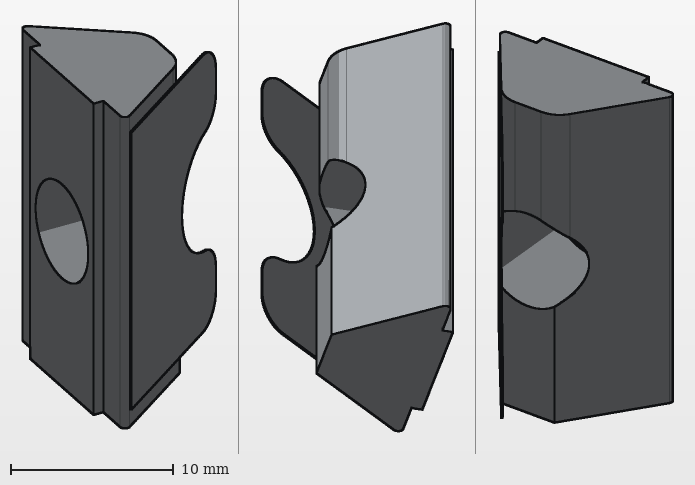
import cadquery as cq
import math

length = 22.0
body_height = 7.2
rail_height = 0.68
rail_width = 8.0
top_width = 3.98
flank_angle = math.radians(53.7)
foot_radius = 0.33
crown_radius = 1.98
bore_diameter = 6.65

plate_thickness = 0.09
plate_length = 19.58
plate_foot_y = 1.25
plate_top_y = 11.4
plate_corner_radius = 1.98
notch_radius = 4.3
notch_depth = 5.02

flank_run = (body_height - rail_height) / math.tan(flank_angle)
foot_half_width = top_width / 2 + flank_run


def make_body():
    """Trapezoidal nut with a rail below and a rounded crown on its +Z half."""
    body = (
        cq.Workplane("XY")
        .polyline([
            (-foot_half_width, rail_height),
            (foot_half_width, rail_height),
            (top_width / 2, body_height),
            (-top_width / 2, body_height),
        ])
        .close()
        .extrude(length / 2, both=True)
    )
    body = body.edges("|Z and (<X or >X)").fillet(foot_radius)

    mid_plane = body.copyWorkplane(cq.Workplane("XY"))
    lower_half = mid_plane.split(keepBottom=True)
    upper_half = mid_plane.split(keepTop=True)
    upper_half = upper_half.faces(">Y").edges("|Z").fillet(crown_radius)
    rail = cq.Workplane("XY").box(
        rail_width, rail_height, length, centered=(True, False, True))
    bore = cq.Workplane("XZ").circle(bore_diameter / 2).extrude(-body_height)
    return upper_half.union(lower_half).union(rail).cut(bore)


def make_spring_plate():
    """Thin plate with two rounded tabs on either side of a circular notch."""
    up_flank = (-math.cos(flank_angle), math.sin(flank_angle), 0)
    outward = (math.sin(flank_angle), math.cos(flank_angle), 0)
    foot_x = top_width / 2 + (body_height - plate_foot_y) / math.tan(flank_angle)
    flank_plane = cq.Plane(
        origin=(foot_x, plate_foot_y, 0), xDir=up_flank, normal=outward)

    tip_rise = plate_thickness * math.cos(flank_angle)
    span = (plate_top_y - tip_rise - plate_foot_y) / math.sin(flank_angle)
    plate = (
        cq.Workplane(flank_plane)
        .rect(span, plate_length)
        .extrude(plate_thickness)
        .translate(tuple(span / 2 * part for part in up_flank))
    )
    notch = (
        cq.Workplane(flank_plane)
        .center(span - notch_depth + notch_radius, 0)
        .circle(notch_radius)
        .extrude(plate_thickness)
    )
    plate = plate.cut(notch)
    above_crown = cq.selectors.BoxSelector(
        (-length, body_height, -length), (length, length, length))
    through_thickness = cq.selectors.ParallelDirSelector(cq.Vector(*outward))
    tab_corners = plate.edges(through_thickness).edges(above_crown)
    return tab_corners.fillet(plate_corner_radius)


result = make_body().union(make_spring_plate())